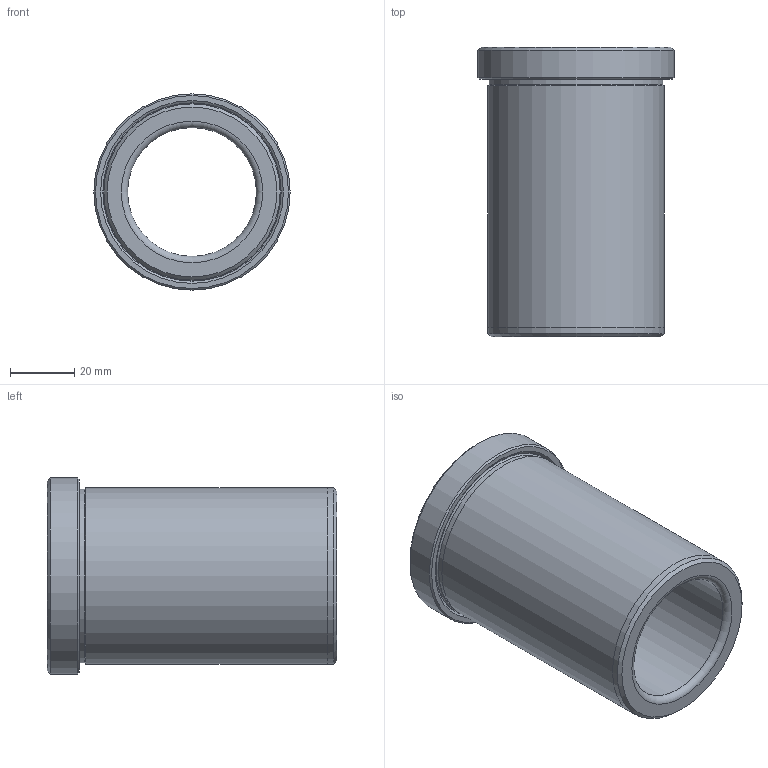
import cadquery as cq


flange_radius = 61 / 2
flange_thickness = 10
flange_back_chamfer = 1.0
flange_shoulder_chamfer = 0.5

sleeve_radius = 55 / 2
sleeve_length = 80
lead_length = 3.0
lead_relief = 0.1
end_chamfer = 1.0

groove_width = 2.0
groove_depth = 0.5
groove_runout = 0.3

recess_width = 1.4
recess_depth = 0.5
recess_wall_run = 0.7
recess_corner_radius = 0.5

bore_radius = 20
bore_entry_fillet = 2.0


def bush_body():
    """Solid outer shape: flange, groove, sleeve, tapered land and end chamfer."""
    groove_radius = sleeve_radius - groove_depth
    land_radius = sleeve_radius - lead_relief
    recess_radius = groove_radius + recess_width
    corner_y = recess_depth - recess_corner_radius
    profile = (
        cq.Workplane("XY")
        .moveTo(0, flange_thickness)
        .lineTo(flange_radius - flange_back_chamfer, flange_thickness)
        .lineTo(flange_radius, flange_thickness - flange_back_chamfer)
        .lineTo(flange_radius, flange_shoulder_chamfer)
        .lineTo(flange_radius - flange_shoulder_chamfer, 0)
        .lineTo(recess_radius, 0)
        .lineTo(recess_radius - recess_wall_run, recess_depth)
        .lineTo(groove_radius + recess_corner_radius, recess_depth)
        .radiusArc((groove_radius, corner_y), -recess_corner_radius)
        .lineTo(groove_radius, groove_runout - groove_width)
        .lineTo(sleeve_radius, -groove_width)
        .lineTo(sleeve_radius, lead_length - sleeve_length)
        .lineTo(land_radius, end_chamfer - sleeve_length)
        .lineTo(land_radius - end_chamfer, -sleeve_length)
        .lineTo(0, -sleeve_length)
        .close()
    )
    return profile.revolve(360, (0, 0, 0), (0, 1, 0))


def cut_bore(body):
    """Cut the through bore and round its edge at the free end of the sleeve."""
    total_length = flange_thickness + sleeve_length
    bore = (
        cq.Workplane("XZ", origin=(0, flange_thickness, 0))
        .circle(bore_radius)
        .extrude(total_length)
    )
    bored = body.cut(bore)
    entry_edge = bored.faces("<Y").edges(cq.selectors.RadiusNthSelector(0))
    return entry_edge.fillet(bore_entry_fillet)


result = cut_bore(bush_body())